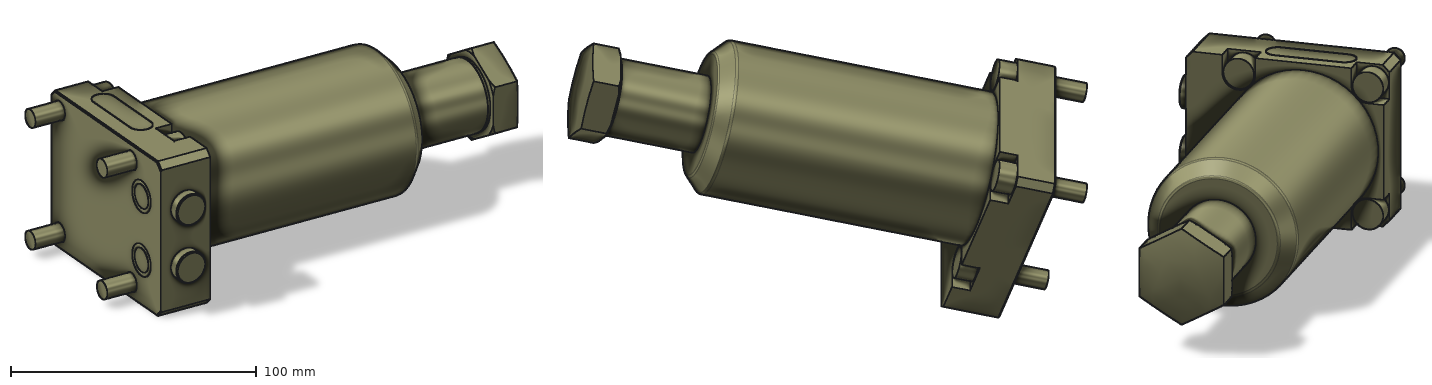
import cadquery as cq
import math

SCREW_PROJECTION = 14.0
BLOCK_DEPTH = 23.8
CYLINDER_LENGTH = 117.2
OVERALL_LENGTH = 207.0
HEX_HEIGHT = 13.0
BLOCK_FRONT = SCREW_PROJECTION
BLOCK_BACK = BLOCK_FRONT + BLOCK_DEPTH
CYLINDER_END = BLOCK_BACK + CYLINDER_LENGTH
HEX_START = OVERALL_LENGTH - HEX_HEIGHT

BLOCK_HEIGHT = 70.0
BLOCK_WIDTH = 84.5
BLOCK_LEFT = -34.4
BLOCK_RIGHT = BLOCK_LEFT + BLOCK_WIDTH
CORNER_CHAMFER = 3.0
RIM_CHAMFER = 0.5
NAMEPLATE_LENGTH = 38.3
NAMEPLATE_WIDTH = 10.0
NAMEPLATE_DEPTH = 0.2
NAMEPLATE_FROM_BACK = 11.0

SCREW_PITCH = 55.0
SHANK_DIAMETER = 8.0
SHANK_HOLE_DIAMETER = 8.5
HEAD_DIAMETER = 13.0
HEAD_HEIGHT = 7.7
HEAD_POCKET_WIDTH = 14.0

PLUG_DIAMETER = 14.0
PLUG_PROJECTION = 4.5
PLUG_CHAMFER = 0.5
PLUG_SPACING = 26.0

SEAL_X = 35.5
SEAL_SPACING = 28.8
SEAL_PITCH_RADIUS = 6.2
SEAL_SECTION_RADIUS = 1.0
SEAL_PROJECTION = 0.52

CYLINDER_DIAMETER = 64.0
CYLINDER_CHAMFER = 6.2
CYLINDER_EDGE_FILLET = 1.7

ROD_DIAMETER = 32.0
NECK_DIAMETER = 31.7
NECK_LENGTH = 1.2
HEX_ACROSS_FLATS = 36.0
DOME_RADIUS = 145.0
HEX_UNDERSIDE_CORNER_CHAMFER = 0.8

SCREW_PLACES = [(sx * SCREW_PITCH / 2, sz * SCREW_PITCH / 2) for sx in (-1, 1) for sz in (-1, 1)]


def rod_along_y(diameter, start, end, x=0.0, z=0.0):
    """Plain cylinder parallel to Y between two Y stations."""
    base = cq.Vector(x, start, z)
    return cq.Workplane(cq.Solid.makeCylinder(diameter / 2, end - start, base, cq.Vector(0, 1, 0)))


def box_between(x0, x1, y0, y1, z0, z1):
    """Box spanning the given coordinate ranges."""
    return cq.Workplane(cq.Solid.makeBox(x1 - x0, y1 - y0, z1 - z0, cq.Vector(x0, y0, z0)))


def head_pocket(x, z):
    """Pocket for a screw head, open through the nearest outer sides of the block."""
    floor = BLOCK_BACK - HEAD_HEIGHT
    radius = HEAD_POCKET_WIDTH / 2
    outer = math.copysign(BLOCK_HEIGHT / 2, z)
    z_low, z_high = sorted((z, outer))
    pocket = rod_along_y(HEAD_POCKET_WIDTH, floor, BLOCK_BACK, x, z)
    pocket = pocket.union(box_between(x - radius, x + radius, floor, BLOCK_BACK, z_low, z_high))
    if x < 0:
        z_low, z_high = sorted((z - math.copysign(radius, z), outer))
        pocket = pocket.union(box_between(BLOCK_LEFT, x, floor, BLOCK_BACK, z_low, z_high))
    return pocket


def plug(z):
    """Chamfered round plug standing on the right side of the block."""
    middle = (BLOCK_FRONT + BLOCK_BACK) / 2
    body = cq.Solid.makeCylinder(
        PLUG_DIAMETER / 2, PLUG_PROJECTION, cq.Vector(BLOCK_RIGHT, middle, z), cq.Vector(1, 0, 0)
    )
    return cq.Workplane(body).faces(">X").chamfer(PLUG_CHAMFER)


def seal_ring(z):
    """Round-section ring partly sunk into the front of the block."""
    centre = cq.Vector(SEAL_X, BLOCK_FRONT - SEAL_PROJECTION + SEAL_SECTION_RADIUS, z)
    return cq.Workplane(
        cq.Solid.makeTorus(SEAL_PITCH_RADIUS, SEAL_SECTION_RADIUS, centre, cq.Vector(0, 1, 0))
    )


def nameplate_recess():
    """Shallow slot-shaped recess in the top of the block."""
    return (
        cq.Workplane("XY", origin=(0, BLOCK_BACK - NAMEPLATE_FROM_BACK, BLOCK_HEIGHT / 2))
        .slot2D(NAMEPLATE_LENGTH, NAMEPLATE_WIDTH)
        .extrude(-NAMEPLATE_DEPTH)
    )


def make_block():
    half_height = BLOCK_HEIGHT / 2
    block = box_between(BLOCK_LEFT, BLOCK_RIGHT, BLOCK_FRONT, BLOCK_BACK, -half_height, half_height)
    block = block.edges("|Y").chamfer(CORNER_CHAMFER)
    block = block.faces("<Y").edges("not >X").chamfer(RIM_CHAMFER)
    for x, z in SCREW_PLACES:
        block = block.cut(rod_along_y(SHANK_HOLE_DIAMETER, BLOCK_FRONT, BLOCK_BACK, x, z))
        block = block.cut(head_pocket(x, z))
    for side in (-1, 1):
        block = block.union(plug(side * PLUG_SPACING / 2))
        block = block.union(seal_ring(side * SEAL_SPACING / 2))
    return block.cut(nameplate_recess())


def make_cylinder():
    cylinder = rod_along_y(CYLINDER_DIAMETER, BLOCK_BACK, CYLINDER_END)
    cylinder = cylinder.faces(">Y").chamfer(CYLINDER_CHAMFER)
    chamfer_edges = cylinder.edges("%CIRCLE").edges("not <Y")
    return chamfer_edges.fillet(CYLINDER_EDGE_FILLET)


def make_hex_end():
    """Hexagon with corners at top and bottom, domed outer end and trimmed inner corners."""
    across_corners = HEX_ACROSS_FLATS / math.cos(math.pi / 6)
    hexagon = (
        cq.Workplane("XZ", origin=(0, HEX_START, 0))
        .transformed(rotate=(0, 0, 90))
        .polygon(6, across_corners)
        .extrude(-HEX_HEIGHT)
    )
    dome = cq.Workplane("XY").sphere(DOME_RADIUS).translate((0, OVERALL_LENGTH - DOME_RADIUS, 0))
    trim = rod_along_y(across_corners, HEX_START, OVERALL_LENGTH)
    trim = trim.faces("<Y").chamfer(HEX_UNDERSIDE_CORNER_CHAMFER, 2 * HEX_UNDERSIDE_CORNER_CHAMFER)
    return hexagon.intersect(trim).intersect(dome)


def make_rod():
    neck_start = HEX_START - NECK_LENGTH
    rod = rod_along_y(ROD_DIAMETER, CYLINDER_END, neck_start)
    rod = rod.union(rod_along_y(NECK_DIAMETER, neck_start, HEX_START))
    return rod.union(make_hex_end())


def make_screw(x, z):
    head_start = BLOCK_BACK - HEAD_HEIGHT
    shank = rod_along_y(SHANK_DIAMETER, 0, head_start, x, z)
    return shank.union(rod_along_y(HEAD_DIAMETER, head_start, BLOCK_BACK, x, z))


block = make_block()
cylinder = make_cylinder()
rod = make_rod()
screws = [make_screw(x, z) for x, z in SCREW_PLACES]

result = cq.Compound.makeCompound(
    [block.val(), cylinder.val(), rod.val(), *[screw.val() for screw in screws]]
)